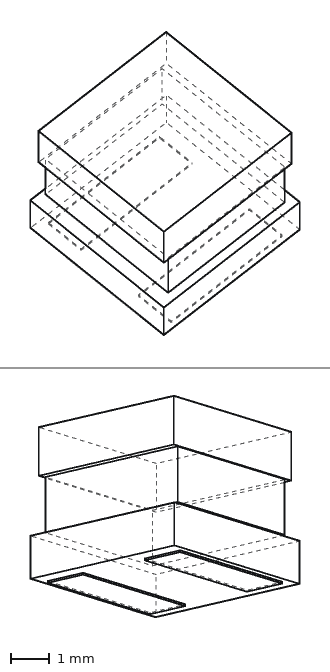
import cadquery as cq

base_side = 4.9
base_height = 1.15

pad_length = 1.2
pad_width = 4.0
pad_thickness = 0.05
pad_span = 4.5

overall_height = 4.1
cap_side = 4.6
cap_height = 1.3
body_length = 4.5
body_width = 4.2
body_height = 1.48

base_bottom = pad_thickness
cap_bottom = overall_height - cap_height
body_bottom = cap_bottom - body_height


def block(length, width, height, bottom, center_x=0):
    """Box centred in Y, standing on the level `bottom`."""
    plane = cq.Workplane("XY", origin=(center_x, 0, bottom))
    return plane.box(length, width, height, centered=(True, True, False))


def make_base():
    return block(base_side, base_side, base_height, base_bottom)


def make_pad(side):
    """Pad near the -X edge (side = -1) or the +X edge (side = 1)."""
    center_x = side * (pad_span - pad_length) / 2
    return block(pad_length, pad_width, pad_thickness, 0, center_x)


def make_core():
    cap = block(cap_side, cap_side, cap_height, cap_bottom)
    body = block(body_length, body_width, body_height, body_bottom)
    return cap.union(body)


base = make_base()
core = make_core()
pads = [make_pad(side) for side in (-1, 1)]

result = cq.Compound.makeCompound([base.val(), core.val(), *[pad.val() for pad in pads]])